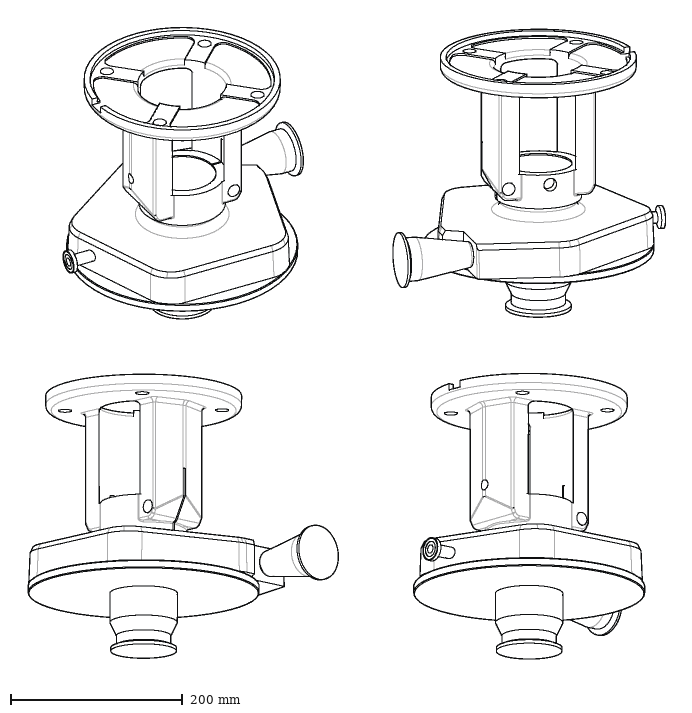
import cadquery as cq
import math


tolerance = 0.05
overrun = 3.5

inlet_rim_r = 38.5
inlet_rim_h = 4.0
inlet_rim_bevel_h = 2.8
inlet_neck_r = 31.8
inlet_neck_top = 18.3
inlet_cone_top = 34.2
inlet_body_r = 39.5

back_r = 134.7
back_bottom = 69.0
back_top = 78.8
back_chamfer = 1.0

side_dist = 115.7
side_step = 72.0
casing_corner_r = 34.5
casing_top = 120.2
casing_draft = 2.0
bevel_h = 6.5
bevel_in = 3.0
hump_y = 132.5
outlet_face_y = 109.5
outlet_face_left_x = -123.5
outlet_face_corner_r = 2.8
step_foot_x = -64.5
step_head_x = -51.8

outlet_x = -95.5
outlet_z = 101.2
outlet_end_y = 195.0
outlet_rim_r = 32.0
outlet_rim_h = 3.0
outlet_rim_bevel_h = 3.0
outlet_tube_r = 25.5
outlet_cone_y = 175.5
outlet_small_r = 15.2
outlet_round = 3.0

drain_z = 98.5
drain_end_y = -150.5
drain_rim_r = 13.5
drain_rim_h = 5.0
drain_rim_bevel_h = 2.8
drain_tube_r = 7.0
drain_root_y = -103.5
drain_bore_r = 5.0
drain_bore_depth = 27.5
drain_groove_r = 10.7
drain_groove_size = 1.7

neck_r = 45.0
neck_fillet = 9.7
collar_r = 50.5
collar_bottom = 135.5
collar_top = 176.2
collar_bore_r = 39.5
collar_bore_depth = 1.7
collar_hole_r = 7.5
collar_hole_z = 164.0

leg_half_w = 39.0
leg_tip_y = 68.8
leg_tip_half_w = 2.5
leg_side_y = 58.0
leg_root_y = 17.3
leg_bottom = 144.8
leg_foot_y = 53.2
leg_slope_top = 174.5
leg_edge_r = 2.8
leg_foot_r = 2.8
leg_toe_r = 8.5
leg_collar_fillet = 1.7
leg_top_fillet = 5.2
front_hole_r = 6.0
front_hole_z = 188.5

slit_w = 2.0
slit_top = 207.3
bolt_hole_r = 7.5
bolt_y = 47.5
bolt_z = 159.3

flange_r = 114.5
flange_bottom = 287.5
flange_top = 305.0
flange_fillet = 6.5
flange_bore_r = 51.8
recess_r = 107.5
recess_floor = 299.2
pocket_r = 103.5
pocket_floor = 297.0
pocket_corner_r = 11.0
pocket_lip_r = 5.2
pad_w = 25.0
pad_angle = 45.0
pad_hole_r = 7.5
pad_hole_dist = 91.5
rim_notch_w = 20.0


def cylinder(radius, bottom, top):
    return cq.Workplane("XY").workplane(offset=bottom).circle(radius).extrude(top - bottom)


def turned(profile):
    """Solid of revolution about Z from (radius, height) points that start and end on the axis."""
    return cq.Workplane("XZ").polyline(profile).close().revolve(360, (0, 0), (0, 1))


def side_corner(first_normal):
    """Meeting point of two neighbouring casing sides, given the angle of the first normal."""
    corner_dist = side_dist / math.cos(math.radians(side_step / 2))
    angle = math.radians(first_normal + side_step / 2)
    return (corner_dist * math.cos(angle), corner_dist * math.sin(angle))


def make_inlet():
    rim_bevel_top = inlet_rim_h + inlet_rim_bevel_h
    return turned([
        (0, 0),
        (inlet_rim_r, 0),
        (inlet_rim_r, inlet_rim_h),
        (inlet_neck_r, rim_bevel_top),
        (inlet_neck_r, inlet_neck_top),
        (inlet_body_r, inlet_cone_top),
        (inlet_body_r, back_bottom),
        (0, back_bottom),
    ])


def make_back_plate():
    return cylinder(back_r, back_bottom, back_top).edges().chamfer(back_chamfer)


def make_casing():
    east_north = side_corner(0)
    east_south = side_corner(-side_step)
    south_west = side_corner(-2 * side_step)
    west = side_corner(2 * side_step)
    west_lean = (outlet_face_left_x - west[0]) / (outlet_face_y - west[1])
    west_top = (west[0] + west_lean * (hump_y - west[1]), hump_y)
    normal = math.radians(side_step)
    hump = ((side_dist - hump_y * math.sin(normal)) / math.cos(normal), hump_y)

    side_h = casing_top - bevel_h - back_top
    body = (
        cq.Workplane("XY").workplane(offset=back_top)
        .polyline([east_north, hump, west_top, west, south_west, east_south]).close()
        .extrude(side_h, taper=casing_draft)
    )
    for x, y in (east_north, hump, west, south_west, east_south):
        edge_middle = (x, y, back_top + side_h / 2)
        body = body.edges(cq.selectors.NearestToPointSelector(edge_middle)).fillet(casing_corner_r)
    bevel_angle = math.degrees(math.atan(bevel_in / bevel_h))
    body = body.faces(">Z").wires().toPending().extrude(bevel_h, taper=bevel_angle)

    step_lean = (step_head_x - step_foot_x) / (hump_y - outlet_face_y)
    beyond_y = hump_y + overrun
    beyond_x = step_foot_x + step_lean * (beyond_y - outlet_face_y)
    corner = (
        cq.Workplane("XY").workplane(offset=back_top)
        .polyline([
            (step_foot_x, outlet_face_y),
            (beyond_x, beyond_y),
            (-back_r, beyond_y),
            (-back_r, outlet_face_y),
        ]).close()
        .extrude(casing_top - back_top)
    )
    body = body.cut(corner)
    edge_middle = (outlet_face_left_x, outlet_face_y, back_top + side_h / 2)
    return body.edges(cq.selectors.NearestToPointSelector(edge_middle)).fillet(outlet_face_corner_r)


def make_outlet():
    cone_start = outlet_face_y + outlet_round
    bevel_y = outlet_end_y - outlet_rim_h - outlet_rim_bevel_h
    nozzle = (
        cq.Workplane("XY")
        .moveTo(0, outlet_end_y)
        .lineTo(outlet_rim_r, outlet_end_y)
        .lineTo(outlet_rim_r, outlet_end_y - outlet_rim_h)
        .lineTo(outlet_tube_r, bevel_y)
        .lineTo(outlet_tube_r, outlet_cone_y)
        .lineTo(outlet_small_r, cone_start)
        .radiusArc((outlet_small_r - outlet_round, outlet_face_y), outlet_round)
        .lineTo(0, outlet_face_y)
        .close()
        .revolve(360, (0, 0), (0, 1))
    )
    return nozzle.translate((outlet_x, 0, outlet_z))


def make_drain():
    bevel_y = drain_end_y + drain_rim_h + drain_rim_bevel_h
    nozzle = (
        cq.Workplane("XY")
        .polyline([
            (0, drain_end_y),
            (drain_rim_r, drain_end_y),
            (drain_rim_r, drain_end_y + drain_rim_h),
            (drain_tube_r, bevel_y),
            (drain_tube_r, drain_root_y),
            (0, drain_root_y),
        ]).close()
        .revolve(360, (0, 0), (0, 1))
    )
    groove = (
        cq.Workplane("XY").center(drain_groove_r, drain_end_y).circle(drain_groove_size)
        .revolve(360, (-drain_groove_r, 0), (-drain_groove_r, 1))
    )
    bore = cq.Workplane("XZ", origin=(0, drain_end_y, 0)).circle(drain_bore_r).extrude(-drain_bore_depth)
    return nozzle.cut(groove).cut(bore).translate((0, 0, drain_z))


def make_leg():
    """The +Y leg: a wedge in plan, with its lower end sloping in towards the collar."""
    plan = (
        cq.Workplane("XY").workplane(offset=leg_bottom)
        .polyline([
            (-leg_half_w, leg_root_y),
            (leg_half_w, leg_root_y),
            (leg_half_w, leg_side_y),
            (leg_tip_half_w, leg_tip_y),
            (-leg_tip_half_w, leg_tip_y),
            (-leg_half_w, leg_side_y),
        ]).close()
        .extrude(flange_bottom - leg_bottom)
    )
    for side in (-leg_half_w, leg_half_w):
        edge_middle = (side, leg_side_y, (leg_bottom + flange_bottom) / 2)
        plan = plan.edges(cq.selectors.NearestToPointSelector(edge_middle)).fillet(leg_edge_r)
    profile = (
        cq.Workplane("YZ")
        .polyline([
            (leg_root_y, leg_bottom),
            (leg_foot_y, leg_bottom),
            (leg_tip_y, leg_slope_top),
            (leg_tip_y, flange_bottom),
            (leg_root_y, flange_bottom),
        ]).close()
        .extrude(leg_half_w, both=True)
    )
    toe = (0, leg_foot_y, leg_bottom)
    profile = profile.edges(cq.selectors.NearestToPointSelector(toe)).fillet(leg_toe_r)
    return plan.intersect(profile).faces("<Z").edges("not <Y").fillet(leg_foot_r)


def make_neck_and_collar():
    """Neck and collar with the lower ends of the legs blended into the collar wall."""
    fillet_top = casing_top + neck_fillet
    neck = (
        cq.Workplane("XZ")
        .moveTo(0, casing_top)
        .lineTo(neck_r + neck_fillet, casing_top)
        .radiusArc((neck_r, fillet_top), neck_fillet)
        .lineTo(neck_r, collar_bottom)
        .lineTo(0, collar_bottom)
        .close()
        .revolve(360, (0, 0), (0, 1))
    )
    collar = cylinder(collar_r, collar_bottom, collar_top)
    leg = make_leg().intersect(cylinder(back_r, collar_bottom, collar_top))
    collar = collar.union(leg).union(leg.mirror("XZ"))

    def is_leg_joint(edge):
        """True for edges on the collar wall that stay clear of its bottom rim and its top face."""
        on_wall = all(abs(math.hypot(v.X, v.Y) - collar_r) < tolerance for v in edge.Vertices())
        lowest = edge.BoundingBox().zmin
        return on_wall and collar_bottom + tolerance < lowest < collar_top - tolerance

    collar = collar.edges().filter(is_leg_joint).fillet(leg_collar_fillet)
    return neck.union(collar)


def make_pockets():
    """Four sector pockets between the pads, with a rounded lip running down into the bore."""
    disc = (
        cq.Workplane("XZ")
        .moveTo(0, flange_top)
        .lineTo(pocket_r, flange_top)
        .lineTo(pocket_r, pocket_floor)
        .lineTo(flange_bore_r + pocket_lip_r, pocket_floor)
        .radiusArc((flange_bore_r, pocket_floor - pocket_lip_r), -pocket_lip_r)
        .lineTo(0, pocket_floor - pocket_lip_r)
        .close()
        .revolve(360, (0, 0), (0, 1))
    )
    pad = (
        cq.Workplane("XY").workplane(offset=flange_bottom).rect(2 * flange_r, pad_w)
        .extrude(flange_top - flange_bottom)
    )
    pockets = disc.cut(pad).cut(pad.rotate((0, 0, 0), (0, 0, 1), 90))
    return pockets.edges("|Z").fillet(pocket_corner_r).rotate((0, 0, 0), (0, 0, 1), pad_angle)


def make_frame():
    """Top flange with both legs, bored out above the collar."""
    flange = cylinder(flange_r, flange_bottom, flange_top).faces("<Z").edges().fillet(flange_fillet)
    leg = make_leg()
    frame = flange.union(leg).union(leg.mirror("XZ"))
    reach = leg_tip_y + overrun
    joint = cq.selectors.BoxSelector(
        (-reach, -reach, flange_bottom - tolerance),
        (reach, reach, flange_bottom + tolerance),
        boundingbox=True,
    )
    frame = frame.edges(joint).fillet(leg_top_fillet)

    frame = frame.cut(cylinder(flange_bore_r, collar_top, flange_top))
    frame = frame.cut(cylinder(recess_r, recess_floor, flange_top))
    frame = frame.cut(make_pockets())
    pad_holes = (
        cq.Workplane("XY").workplane(offset=flange_bottom)
        .polarArray(pad_hole_dist, pad_angle, 360, 4).circle(pad_hole_r)
        .extrude(flange_top - flange_bottom)
    )
    notch_len = flange_r - pocket_r + overrun
    notch = cq.Workplane("XY").box(
        rim_notch_w, notch_len, flange_top - pocket_floor, centered=(True, False, False)
    ).translate((0, -flange_r, pocket_floor))
    front_hole = cq.Workplane("XZ").center(0, front_hole_z).circle(front_hole_r).extrude(leg_tip_y)
    return frame.cut(pad_holes).cut(notch).cut(front_hole)


def cut_collar(body):
    body = body.cut(cylinder(collar_bore_r, collar_top - collar_bore_depth, collar_top))
    side_hole = (
        cq.Workplane("YZ", origin=(-collar_r, 0, 0)).center(0, collar_hole_z)
        .circle(collar_hole_r).extrude(collar_r - collar_bore_r)
    )
    slit = cq.Workplane("XY").box(
        slit_w, leg_tip_y - collar_bore_r, slit_top - collar_bottom, centered=(True, False, False)
    ).translate((0, collar_bore_r, collar_bottom))
    bolt_hole = (
        cq.Workplane("YZ").center(bolt_y, bolt_z).circle(bolt_hole_r)
        .extrude(leg_half_w, both=True)
    )
    return body.cut(side_hole).cut(slit).cut(bolt_hole)


body = make_inlet().union(make_back_plate()).union(make_casing())
body = body.union(make_outlet()).union(make_drain())
body = body.union(make_neck_and_collar()).union(make_frame())
result = cut_collar(body)